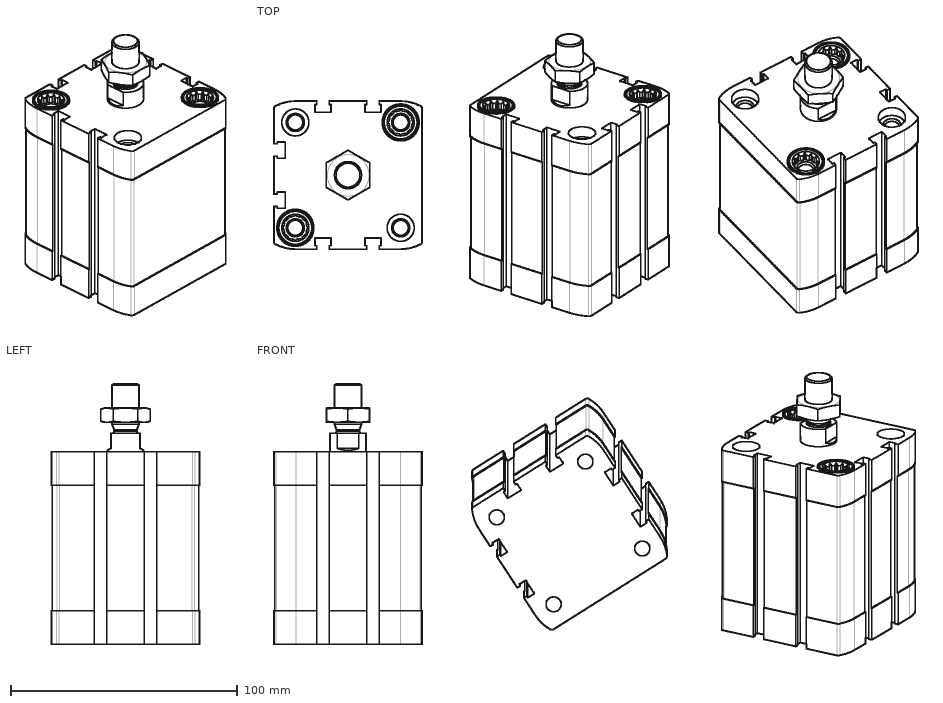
import cadquery as cq
import math

BODY_SIZE = 65.5
BODY_HEIGHT = 85.2
CAP_HEIGHT = 15.0
BARREL_INSET = 0.3
CORNER_RADIUS = 19.5
CORNER_CENTER_X = 23.2
CORNER_EDGE_FILLET = 1.4

SLOT_SPACING = 22.1
SLOT_MOUTH_WIDTH = 5.4
SLOT_INNER_WIDTH = 7.0
SLOT_LIP = 1.6
SLOT_DEPTH = 5.0

HOLE_SPACING = 46.5
HOLE_DIAMETER = 6.7
HOLE_CHAMFER_DIAMETER = 8.0
HOLE_CHAMFER_DEPTH = 1.0
COUNTERBORE_DIAMETER = 12.0
COUNTERBORE_DEPTH = 5.0

SOCKET_DEPTH = 4.5
SOCKET_TIP_DIAMETER = 10.3
SOCKET_POINT_DIAMETER = 11.5
SOCKET_SQUARE_COUNT = 3
SOCKET_SQUARE_PITCH = 90 / SOCKET_SQUARE_COUNT
SOCKET_MOUTH_DEPTH = 1.6
RING_OUTER_DIAMETER = 16.4
RING_INNER_DIAMETER = 15.5
RING_TOP_DIAMETER = 14.5
RING_DEPTH = 0.6

ROD_DIAMETER = 16.0
ROD_TOP = 115.2
ROD_SHOULDER = 93.4
THREAD_DIAMETER = 12.0
THREAD_TIP_DIAMETER = 10.6
THREAD_BOTTOM = 97.2
NECK_DIAMETER = 10.3
NECK_TOP = 94.9
NECK_BOTTOM = 94.1
NECK_FLARE_DIAMETER = 11.0
FLAT_ACROSS = 13.0
FLAT_BOTTOM = 86.6
FLAT_RUNOUT_DROP = 0.8

NUT_SIDES = 6
NUT_HALF_SIDE_ANGLE = 180 / NUT_SIDES
NUT_ACROSS_FLATS = 19.0
NUT_FACE_DIAMETER = 18.4
NUT_THICKNESS = 6.3
NUT_BOTTOM = 98.2
NUT_CHAMFER_ANGLE = 15.0


def outline_prism(size, corner_radius, height):
    """Square prism with bowed corners: arcs run from the Y faces to the X faces."""
    half = size / 2
    arc_center_y = half - corner_radius
    side_angle = math.acos((half - CORNER_CENTER_X) / corner_radius)
    side_y = arc_center_y + corner_radius * math.sin(side_angle)
    mid_angle = (side_angle + math.pi / 2) / 2
    mid_x = CORNER_CENTER_X + corner_radius * math.cos(mid_angle)
    mid_y = arc_center_y + corner_radius * math.sin(mid_angle)
    return (
        cq.Workplane("XY")
        .moveTo(-CORNER_CENTER_X, half)
        .lineTo(CORNER_CENTER_X, half)
        .threePointArc((mid_x, mid_y), (half, side_y))
        .lineTo(half, -side_y)
        .threePointArc((mid_x, -mid_y), (CORNER_CENTER_X, -half))
        .lineTo(-CORNER_CENTER_X, -half)
        .threePointArc((-mid_x, -mid_y), (-half, -side_y))
        .lineTo(-half, side_y)
        .threePointArc((-mid_x, mid_y), (-CORNER_CENTER_X, half))
        .close()
        .extrude(height)
        .edges("|Z and (>X or <X)")
        .fillet(CORNER_EDGE_FILLET)
    )


def sensor_slot(side_angle, offset):
    """T-slot along the full height, in the face whose outward normal is at side_angle."""
    half = BODY_SIZE / 2
    mouth = (
        cq.Workplane("XY")
        .box(SLOT_DEPTH, SLOT_MOUTH_WIDTH, BODY_HEIGHT, centered=(False, True, False))
        .translate((half - SLOT_DEPTH, offset, 0))
    )
    channel = (
        cq.Workplane("XY")
        .box(SLOT_DEPTH - SLOT_LIP, SLOT_INNER_WIDTH, BODY_HEIGHT, centered=(False, True, False))
        .translate((half - SLOT_DEPTH, offset, 0))
    )
    return mouth.union(channel).rotate((0, 0, 0), (0, 0, 1), side_angle)


def revolved(points):
    """Solid of revolution about Z from (radius, height) points."""
    return cq.Workplane("XZ").polyline(points).close().revolve(360, (0, 0, 0), (0, 1, 0))


def screw_hole(seat_depth):
    """Through hole with a countersunk mouth at seat_depth below the top of the housing."""
    hole_radius = HOLE_DIAMETER / 2
    mouth_radius = HOLE_CHAMFER_DIAMETER / 2
    seat = BODY_HEIGHT - seat_depth
    return revolved([
        (0, 0),
        (hole_radius, 0),
        (hole_radius, seat - HOLE_CHAMFER_DEPTH),
        (mouth_radius, seat),
        (0, seat),
    ])


def counterbored_hole():
    """Screw hole below a plain cylindrical counterbore."""
    bore = (
        cq.Workplane("XY", origin=(0, 0, BODY_HEIGHT - COUNTERBORE_DEPTH))
        .circle(COUNTERBORE_DIAMETER / 2)
        .extrude(COUNTERBORE_DEPTH)
    )
    return screw_hole(COUNTERBORE_DEPTH).union(bore)


def socket_hole():
    """Screw hole below a triple-square socket with a conical mouth and a ring groove around it."""
    floor = BODY_HEIGHT - SOCKET_DEPTH
    tip_radius = SOCKET_TIP_DIAMETER / 2
    socket = revolved([
        (0, floor),
        (tip_radius, floor),
        (tip_radius, BODY_HEIGHT - SOCKET_MOUTH_DEPTH),
        (COUNTERBORE_DIAMETER / 2, BODY_HEIGHT),
        (0, BODY_HEIGHT),
    ])
    for index in range(SOCKET_SQUARE_COUNT):
        square = (
            cq.Workplane("XY", origin=(0, 0, floor))
            .polygon(4, SOCKET_POINT_DIAMETER)
            .extrude(SOCKET_DEPTH)
            .rotate((0, 0, 0), (0, 0, 1), index * SOCKET_SQUARE_PITCH)
        )
        socket = socket.union(square)
    ring = revolved([
        (RING_TOP_DIAMETER / 2, BODY_HEIGHT),
        (RING_INNER_DIAMETER / 2, BODY_HEIGHT - RING_DEPTH),
        (RING_OUTER_DIAMETER / 2, BODY_HEIGHT - RING_DEPTH),
        (RING_OUTER_DIAMETER / 2, BODY_HEIGHT),
    ])
    return screw_hole(SOCKET_DEPTH).union(socket).union(ring)


def make_housing():
    """Slotted barrel between two slightly larger end caps, with corner holes and a rod bore."""
    cap_base = BODY_HEIGHT - CAP_HEIGHT
    barrel = outline_prism(BODY_SIZE - 2 * BARREL_INSET, CORNER_RADIUS - BARREL_INSET, BODY_HEIGHT)
    cap = outline_prism(BODY_SIZE, CORNER_RADIUS, CAP_HEIGHT)
    housing = barrel.union(cap).union(cap.translate((0, 0, cap_base)))

    for side_angle in (90, 180, 270):
        for offset in (-SLOT_SPACING / 2, SLOT_SPACING / 2):
            housing = housing.cut(sensor_slot(side_angle, offset))

    hole_offset = HOLE_SPACING / 2
    for side in (-1, 1):
        housing = housing.cut(socket_hole().translate((side * hole_offset, side * hole_offset, 0)))
        housing = housing.cut(counterbored_hole().translate((side * hole_offset, -side * hole_offset, 0)))

    rod_bore = cq.Workplane("XY", origin=(0, 0, cap_base)).circle(ROD_DIAMETER / 2).extrude(CAP_HEIGHT)
    return housing.cut(rod_bore)


def wrench_flat_cut(side):
    """Material removed for one wrench flat, ending below in a sloped run-out."""
    flat_y = FLAT_ACROSS / 2
    outer_y = ROD_DIAMETER / 2
    return (
        cq.Workplane("YZ")
        .polyline([
            (side * flat_y, ROD_SHOULDER),
            (side * flat_y, FLAT_BOTTOM),
            (side * outer_y, FLAT_BOTTOM - FLAT_RUNOUT_DROP),
            (side * outer_y, ROD_SHOULDER),
        ])
        .close()
        .extrude(ROD_DIAMETER / 2, both=True)
    )


def make_piston_rod():
    """Rod starting at the inner face of the top cap, with wrench flats, neck and threaded end."""
    tip_chamfer = (THREAD_DIAMETER - THREAD_TIP_DIAMETER) / 2
    base = BODY_HEIGHT - CAP_HEIGHT
    rod = revolved([
        (0, base),
        (ROD_DIAMETER / 2, base),
        (ROD_DIAMETER / 2, ROD_SHOULDER),
        (NECK_FLARE_DIAMETER / 2, ROD_SHOULDER),
        (NECK_DIAMETER / 2, NECK_BOTTOM),
        (NECK_DIAMETER / 2, NECK_TOP),
        (THREAD_DIAMETER / 2, THREAD_BOTTOM),
        (THREAD_DIAMETER / 2, ROD_TOP - tip_chamfer),
        (THREAD_TIP_DIAMETER / 2, ROD_TOP),
        (0, ROD_TOP),
    ])
    for side in (-1, 1):
        rod = rod.cut(wrench_flat_cut(side))
    return rod


def make_lock_nut():
    """Hexagon nut with flats facing X, chamfered conically at both ends."""
    corner_radius = NUT_ACROSS_FLATS / 2 / math.cos(math.radians(NUT_HALF_SIDE_ANGLE))
    face_radius = NUT_FACE_DIAMETER / 2
    chamfer_drop = (corner_radius - face_radius) * math.tan(math.radians(NUT_CHAMFER_ANGLE))
    nut_top = NUT_BOTTOM + NUT_THICKNESS
    hexagon = (
        cq.Workplane("XY", origin=(0, 0, NUT_BOTTOM))
        .polygon(NUT_SIDES, 2 * corner_radius)
        .extrude(NUT_THICKNESS)
        .rotate((0, 0, 0), (0, 0, 1), NUT_HALF_SIDE_ANGLE)
    )
    chamfer_envelope = revolved([
        (THREAD_DIAMETER / 2, NUT_BOTTOM),
        (face_radius, NUT_BOTTOM),
        (corner_radius, NUT_BOTTOM + chamfer_drop),
        (corner_radius, nut_top - chamfer_drop),
        (face_radius, nut_top),
        (THREAD_DIAMETER / 2, nut_top),
    ])
    return hexagon.intersect(chamfer_envelope)


housing = make_housing()
piston_rod = make_piston_rod()
lock_nut = make_lock_nut()

result = cq.Compound.makeCompound([housing.val(), piston_rod.val(), lock_nut.val()])